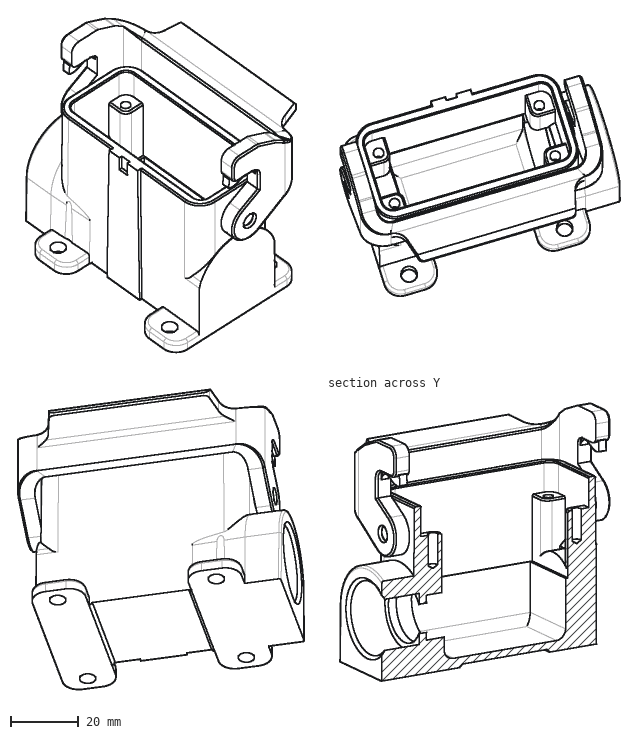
import cadquery as cq
import math


BASE_HALF_X, BASE_HALF_Y = 31.7, 15.4
RIM_HALF_Y = 15.1
RIM_Z = 52.1
CORNER_R = 6.4
DRAFT = math.degrees(math.atan((BASE_HALF_Y - RIM_HALF_Y) / RIM_Z))
RIM_OUTER_CHAMFER = 0.5
RIM_INNER_CHAMFER = 0.4

AXIS_Z = 17.25
ENTRY_R = 15.9
ENTRY_BASE_HALF_Y = 16.1
ENTRY_FACE_X = -42.6
ENTRY_EDGE_FILLET = 0.6
ENTRY_D = 22.5
ENTRY_MOUTH_D = 24.6
ENTRY_SHOULDER_X = -29.7
INNER_HOLE_D = 18.5

FOOT_INNER_X = 15.6
FOOT_HALF_Y = 25.1
FOOT_Z = 3.8
FOOT_CORNER_R = 4.95
FOOT_EDGE_FILLET = 0.95
SCREW_X, SCREW_Y = 24.05, 20.1
SCREW_D = 4.8
SCREW_CLEARANCE_R = 4.6
UNDERSIDE_GAP = 0.95

SHOULDER_Z = 21.4
FACET_HALF_Y, FACET_Z = 14.6, 23.6

CAVITY_HALF_X, CAVITY_HALF_Y = 28.9, 12.2
CAVITY_CORNER_R = 3.2
POST_TOP_Z = 42.7
POST_EDGE_CHAMFER = 0.55
POST_INNER_X = 21.7
WELL_HALF_X, WELL_HALF_Y = 20.9, 12.0
LEDGE_Z = 22.05
FLOOR_Z = 3.35
FLOOR_FILLET = 3.1
POST_INNER_Y = 5.0
POST_CORNER_R = 2.4
CHANNEL_END_X = 27.0
CHANNEL_SLOPE_Z = 27.65
CHANNEL_D = 21.25
POST_HOLE_X, POST_HOLE_Y = 24.85, 8.1
POST_HOLE_D = 3.0
POST_HOLE_DEPTH = 9.6
DRILL_POINT_ANGLE = 118.0

RIB_TOP_HALF_X, RIB_BASE_HALF_X = 6.15, 7.0
RIB_FACE_Y = -16.3
NOTCH_HALF_X, NOTCH_DEPTH, NOTCH_HEIGHT = 1.7, 1.0, 4.7

PIVOT_Z = 42.6
PIVOT_R = 6.95
PIN_D, PIN_END_D = 5.1, 4.0
PIN_RECESS = 0.8
BOSS_D = 6.6
ARM_INNER_X, ARM_OUTER_X = 32.3, 37.3
ARM_BACK_Y = 14.1
ARM_EDGE_CHAMFER = 0.55
ARM_TOP_Z = 70.6
BAR_INNER_Y, BAR_OUTER_Y = 17.65, 21.25
BAR_BOTTOM_Z, BAR_TOP_Z = 47.6, 60.8
BAR_EDGE_CHAMFER = 0.55
ARM_BEND_Y, ARM_BEND_Z = 10.7, 67.75
ARM_FLAT_Y = 3.7
HOOK_TIP_Y = -6.9
HOOK_CORNER_R = 2.95
HOOK_UNDER_Z = 61.3
HOOK_HEEL_R = 2.15
THROAT_Y, THROAT_R = 3.6, 2.6
LOWER_SLOPE, UPPER_SLOPE = 32.0, 30.0
INNER_BEND_R = 4.0
CORNER_SECTIONS = 6
ARM_BEND_R = 2.4
TOOTH_X, TOOTH_WIDTH = 34.4, 2.55
TOOTH_TOP_Z = 62.25
TOOTH_WAVE = [(3.7, 57.8), (2.8, 59.5), (0.3, 60.65), (-2.3, 59.5), (-4.8, 58.65), (-7.1, 58.9)]
HANDLE_TIP_Y = 31.9
HANDLE_TIP_HALF_X, HANDLE_NECK_HALF_X, HANDLE_ROOT_HALF_X = 24.0, 25.8, 30.0
HANDLE_NECK_Y = 25.1
HANDLE_FLARE = (27.2, 22.5)
HANDLE_TIP_FILLET = 1.6
HANDLE_TOP_EDGE = (30.1, 62.3)
HANDLE_TIP_TOP_Z, HANDLE_TIP_BOTTOM_Z = 60.1, 59.05
HANDLE_ROOT_START, HANDLE_ROOT_Z = (22.7, 57.45), 56.1
HANDLE_ROOT_R = 1.6
HANDLE_OVERLAP = 0.8


def box(x0, x1, y0, y1, z0, z1):
    return cq.Workplane("XY").box(x1 - x0, y1 - y0, z1 - z0, centered=False).translate((x0, y0, z0))


def x_cylinder(diameter, x0, x1, z):
    """A cylinder along X on the plane Y = 0."""
    return cq.Workplane("YZ", origin=(x0, 0, z)).circle(diameter / 2).extrude(x1 - x0)


def both_ends(shape):
    """The shape together with its mirror image across the plane X = 0."""
    return shape.union(shape.mirror("YZ"))



def shell():
    return (cq.Workplane("XY").rect(2 * BASE_HALF_X, 2 * BASE_HALF_Y).extrude(RIM_Z, taper=DRAFT)
            .edges("not(|X or |Y)").fillet(CORNER_R)
            .faces(">Z").edges().chamfer(RIM_OUTER_CHAMFER))


def arch(plane_x, base_half_y, radius):
    """Outline of a block with a round top, in a plane across X."""
    return (cq.Workplane("YZ", origin=(plane_x, 0, 0))
            .moveTo(-base_half_y, 0).lineTo(-radius, AXIS_Z)
            .threePointArc((0, AXIS_Z + radius), (radius, AXIS_Z))
            .lineTo(base_half_y, 0).close())


def cable_entry():
    straight = arch(ENTRY_FACE_X, ENTRY_BASE_HALF_Y, ENTRY_R).extrude(-BASE_HALF_X - ENTRY_FACE_X)
    straight = straight.faces("<X").edges("not(<Z)").fillet(ENTRY_EDGE_FILLET)
    wide = arch(-BASE_HALF_X, ENTRY_BASE_HALF_Y, ENTRY_R).wires().val()
    wall_half_y = BASE_HALF_Y - AXIS_Z * math.tan(math.radians(DRAFT))
    flush = arch(-FOOT_INNER_X, BASE_HALF_Y, wall_half_y).wires().val()
    blend = cq.Workplane("XY").add(cq.Solid.makeLoft([wide, flush], True))
    return straight.union(blend)


def far_end_block():
    wall_half_y = BASE_HALF_Y - SHOULDER_Z * math.tan(math.radians(DRAFT))
    start_x = BASE_HALF_X - 2 * CORNER_R
    return (cq.Workplane("YZ", origin=(start_x, 0, 0))
            .moveTo(-BASE_HALF_Y, 0).lineTo(-wall_half_y, SHOULDER_Z).lineTo(-FACET_HALF_Y, FACET_Z)
            .threePointArc((0, AXIS_Z + ENTRY_R), (FACET_HALF_Y, FACET_Z))
            .lineTo(wall_half_y, SHOULDER_Z).lineTo(BASE_HALF_Y, 0).close()
            .extrude(2 * CORNER_R))


def feet():
    strip = (box(FOOT_INNER_X, BASE_HALF_X, -FOOT_HALF_Y, FOOT_HALF_Y, 0, FOOT_Z)
             .edges("|Z").fillet(FOOT_CORNER_R)
             .faces(">Z").edges().fillet(FOOT_EDGE_FILLET))
    return both_ends(strip)


def underside_clearance():
    return (cq.Workplane("XZ", origin=(0, FOOT_HALF_Y, 0))
            .polyline([(-FOOT_INNER_X, 0), (FOOT_INNER_X, 0),
                       (FOOT_INNER_X - UNDERSIDE_GAP, UNDERSIDE_GAP),
                       (UNDERSIDE_GAP - FOOT_INNER_X, UNDERSIDE_GAP)])
            .close().extrude(2 * FOOT_HALF_Y))


def screw_places(z):
    return (cq.Workplane("XY", origin=(0, 0, z))
            .rect(2 * SCREW_X, 2 * SCREW_Y, forConstruction=True).vertices())


def guide_rib():
    return (cq.Workplane("XZ", origin=(0, RIB_FACE_Y, 0))
            .polyline([(-RIB_BASE_HALF_X, UNDERSIDE_GAP), (RIB_BASE_HALF_X, UNDERSIDE_GAP),
                       (RIB_TOP_HALF_X, RIM_Z), (-RIB_TOP_HALF_X, RIM_Z)])
            .close().extrude(RIB_FACE_Y + CAVITY_HALF_Y + RIM_INNER_CHAMFER))


def rib_notch():
    return box(-NOTCH_HALF_X, NOTCH_HALF_X, RIB_FACE_Y, RIB_FACE_Y + NOTCH_DEPTH, RIM_Z - NOTCH_HEIGHT, RIM_Z)


def upper_cavity():
    cavity = (box(-CAVITY_HALF_X, CAVITY_HALF_X, -CAVITY_HALF_Y, CAVITY_HALF_Y, POST_TOP_Z, RIM_Z)
              .edges("|Z").fillet(CAVITY_CORNER_R))
    mouth = (cq.Workplane("XY", origin=(0, 0, RIM_Z))
             .sketch().rect(2 * (CAVITY_HALF_X + RIM_INNER_CHAMFER), 2 * (CAVITY_HALF_Y + RIM_INNER_CHAMFER))
             .vertices().fillet(CAVITY_CORNER_R + RIM_INNER_CHAMFER).finalize()
             .extrude(-RIM_INNER_CHAMFER, taper=45))
    return cavity.union(mouth)


def well():
    lower = (box(-WELL_HALF_X, WELL_HALF_X, -WELL_HALF_Y, WELL_HALF_Y, FLOOR_Z, LEDGE_Z)
             .faces("<Z").edges().fillet(FLOOR_FILLET))
    upper = box(-POST_INNER_X, POST_INNER_X, -CAVITY_HALF_Y, CAVITY_HALF_Y, LEDGE_Z, POST_TOP_Z)
    return lower.union(upper)


def post_channel():
    """Space between the two posts of the +X end, with a sloped end wall and rounded post corners."""
    slope_top_z = CHANNEL_SLOPE_Z + CAVITY_HALF_X - CHANNEL_END_X
    slot = (cq.Workplane("XZ", origin=(0, POST_INNER_Y, 0))
            .polyline([(0, AXIS_Z), (CHANNEL_END_X, AXIS_Z), (CHANNEL_END_X, CHANNEL_SLOPE_Z),
                       (CAVITY_HALF_X, slope_top_z), (CAVITY_HALF_X, POST_TOP_Z), (0, POST_TOP_Z)])
            .close().extrude(2 * POST_INNER_Y))
    flare_half_y = POST_INNER_Y + POST_CORNER_R
    flare = box(POST_INNER_X, POST_INNER_X + POST_CORNER_R, -flare_half_y, flare_half_y, LEDGE_Z, POST_TOP_Z)
    rounds = (cq.Workplane("XY", origin=(0, 0, LEDGE_Z))
              .pushPoints([(POST_INNER_X + POST_CORNER_R, side * flare_half_y) for side in (-1, 1)])
              .circle(POST_CORNER_R).extrude(POST_TOP_Z - LEDGE_Z))
    return slot.union(flare.cut(rounds))


def channels():
    hump = x_cylinder(CHANNEL_D, WELL_HALF_X, BASE_HALF_X, AXIS_Z)
    trough = x_cylinder(CHANNEL_D, -CHANNEL_END_X, -WELL_HALF_X, AXIS_Z)
    channel = post_channel()
    return channel.cut(hump).union(channel.mirror("YZ")).union(trough)


def chamfer_posts(body):
    """Bevel the free top edges of the four posts."""
    margin = 0.1
    near_x, near_y = POST_INNER_X - margin, POST_INNER_Y - margin
    far_x, far_y = POST_HOLE_X + POST_HOLE_D, CAVITY_HALF_Y - POST_CORNER_R
    for x_side in (-1, 1):
        for y_side in (-1, 1):
            free_edges = cq.selectors.BoxSelector((x_side * near_x, y_side * near_y, POST_TOP_Z - margin),
                                                  (x_side * far_x, y_side * far_y, POST_TOP_Z + margin))
            body = body.edges(free_edges).chamfer(POST_EDGE_CHAMFER)
    return body


def post_holes():
    cone_depth = POST_HOLE_D / 2 / math.tan(math.radians(DRILL_POINT_ANGLE / 2))
    hole = (cq.Workplane("XZ")
            .polyline([(0, 0), (POST_HOLE_D / 2, 0), (POST_HOLE_D / 2, -POST_HOLE_DEPTH),
                       (0, -POST_HOLE_DEPTH - cone_depth)])
            .close().revolve(360, (0, 0, 0), (0, 1, 0)).val())
    return (cq.Workplane("XY", origin=(0, 0, POST_TOP_Z))
            .rect(2 * POST_HOLE_X, 2 * POST_HOLE_Y, forConstruction=True).vertices()
            .eachpoint(lambda place: hole.moved(place), combine=False))


def entry_bore():
    mouth = (cq.Workplane("YZ", origin=(ENTRY_FACE_X, 0, AXIS_Z)).circle(ENTRY_MOUTH_D / 2)
             .extrude((ENTRY_MOUTH_D - ENTRY_D) / 2, taper=45))
    bore = x_cylinder(ENTRY_D, ENTRY_FACE_X, ENTRY_SHOULDER_X, AXIS_Z)
    inner = x_cylinder(INNER_HOLE_D, ENTRY_SHOULDER_X, -WELL_HALF_X, AXIS_Z)
    return mouth.union(bore).union(inner)


def pivot_pin():
    """Boss and pin of the +X end."""
    boss = x_cylinder(BOSS_D, CAVITY_HALF_X, ARM_INNER_X, PIVOT_Z)
    pin = (x_cylinder(PIN_D, ARM_INNER_X, ARM_OUTER_X - PIN_RECESS, PIVOT_Z)
           .faces(">X").chamfer((PIN_D - PIN_END_D) / 2))
    return boss.union(pin)


def make_housing():
    body = shell().union(cable_entry()).union(far_end_block())
    screw_clearance = screw_places(FOOT_Z).circle(SCREW_CLEARANCE_R).extrude(RIM_Z - FOOT_Z)
    body = body.cut(screw_clearance).union(guide_rib()).union(feet())
    for opening in (underside_clearance(), screw_places(0).circle(SCREW_D / 2).extrude(FOOT_Z),
                    rib_notch(), upper_cavity(), well(), channels(), entry_bore()):
        body = body.cut(opening)
    body = chamfer_posts(body).cut(post_holes())
    return body.union(both_ends(pivot_pin()))



def sloped_edge_heights(y):
    """Bottom and top Z of the straight sloped edges at a given Y."""
    slope = math.radians(LOWER_SLOPE)
    bottom = PIVOT_Z - PIVOT_R / math.cos(slope) + y * math.tan(slope)
    top = BAR_TOP_Z + (BAR_OUTER_Y - y) * (ARM_BEND_Z - BAR_TOP_Z) / (BAR_OUTER_Y - ARM_BEND_Y)
    return bottom, top


def arm():
    bottom, top = sloped_edge_heights(ARM_BACK_Y)
    lower, upper = math.radians(LOWER_SLOPE), math.radians(UPPER_SLOPE)
    lower_tangent = (PIVOT_R * math.sin(lower), PIVOT_Z - PIVOT_R * math.cos(lower))
    upper_tangent = (-PIVOT_R * math.sin(upper), PIVOT_Z + PIVOT_R * math.cos(upper))
    throat_z = upper_tangent[1] + (THROAT_Y - upper_tangent[0]) * math.tan(upper)
    tip_y, top_z, under_z = HOOK_TIP_Y, ARM_TOP_Z, HOOK_UNDER_Z
    plate = (cq.Workplane("YZ", origin=(ARM_INNER_X, 0, 0))
             .moveTo(ARM_BACK_Y, bottom).lineTo(*lower_tangent)
             .threePointArc((-PIVOT_R, PIVOT_Z), upper_tangent)
             .lineTo(THROAT_Y, throat_z)
             .lineTo(THROAT_Y, under_z - THROAT_R)
             .radiusArc((THROAT_Y - THROAT_R, under_z), -THROAT_R)
             .lineTo(tip_y + HOOK_HEEL_R, under_z)
             .radiusArc((tip_y, under_z + HOOK_HEEL_R), HOOK_HEEL_R)
             .lineTo(tip_y, top_z - HOOK_CORNER_R)
             .radiusArc((tip_y + HOOK_CORNER_R, top_z), HOOK_CORNER_R)
             .lineTo(ARM_FLAT_Y, top_z).lineTo(ARM_BEND_Y, ARM_BEND_Z)
             .lineTo(ARM_BACK_Y, top).close()
             .extrude(ARM_OUTER_X - ARM_INNER_X))
    for bend in ((ARM_BEND_Y, ARM_BEND_Z), (ARM_FLAT_Y, ARM_TOP_Z)):
        middle = ((ARM_INNER_X + ARM_OUTER_X) / 2, *bend)
        plate = plate.edges(cq.selectors.NearestToPointSelector(middle)).fillet(ARM_BEND_R)
    plate = plate.faces(">X").edges("not(>Y)").chamfer(ARM_EDGE_CHAMFER)
    return plate.cut(x_cylinder(PIN_D, ARM_INNER_X, ARM_OUTER_X, PIVOT_Z))


def wall_section(inner, outer, bottom, top, inner_bevel, outer_bevel):
    """Upright section between two plan points, bevelled at both outer edges and the inner top edge."""
    across_wall = cq.Vector(outer[0] - inner[0], outer[1] - inner[1], 0)
    width = across_wall.Length
    outline = [(0, bottom), (width - outer_bevel, bottom), (width, bottom + outer_bevel),
               (width, top - outer_bevel), (width - outer_bevel, top),
               (inner_bevel, top), (0, top - inner_bevel)]
    points = [cq.Vector(*inner, z) + across_wall * (distance / width) for distance, z in outline]
    return cq.Wire.makePolygon(points, close=True)


def corner():
    """Twisted quarter turn from the arm to the cross bar, lofted through upright sections."""
    outer_r = BAR_OUTER_Y - ARM_BACK_Y
    low, high = sloped_edge_heights(ARM_BACK_Y)
    sections = []
    for step in range(CORNER_SECTIONS):
        turn = math.radians(90 * step / (CORNER_SECTIONS - 1))
        across, along = math.cos(turn), math.sin(turn)
        outer = (ARM_OUTER_X - outer_r * (1 - across), ARM_BACK_Y + outer_r * along)
        inner = (ARM_INNER_X - INNER_BEND_R * (1 - across), ARM_BACK_Y + (BAR_INNER_Y - ARM_BACK_Y) * along)
        bottom = low + (BAR_BOTTOM_Z - low) * along
        top = high + (BAR_TOP_Z - high) * along
        outer_bevel = ARM_EDGE_CHAMFER * (CORNER_SECTIONS - step) / CORNER_SECTIONS
        inner_bevel = BAR_EDGE_CHAMFER * (step + 1) / CORNER_SECTIONS
        sections.append(wall_section(inner, outer, bottom, top, inner_bevel, outer_bevel))
    return cq.Workplane("XY").add(cq.Solid.makeLoft(sections))


def tooth():
    """Wavy locking tooth below the hook, running back into the throat."""
    back_y = TOOTH_WAVE[0][0]
    return (cq.Workplane("YZ", origin=(TOOTH_X - TOOTH_WIDTH / 2, 0, 0))
            .spline(TOOTH_WAVE)
            .lineTo(HOOK_TIP_Y, TOOTH_TOP_Z).lineTo(back_y, TOOTH_TOP_Z).close()
            .extrude(TOOTH_WIDTH))


def handle_plan():
    """The handle from above: flared at the root, tapering to the rounded tip."""
    root_y = BAR_OUTER_Y - HANDLE_OVERLAP
    return (cq.Workplane("XY", origin=(0, 0, BAR_BOTTOM_Z))
            .moveTo(-HANDLE_ROOT_HALF_X, root_y)
            .lineTo(-HANDLE_ROOT_HALF_X, BAR_OUTER_Y)
            .threePointArc((-HANDLE_FLARE[0], HANDLE_FLARE[1]), (-HANDLE_NECK_HALF_X, HANDLE_NECK_Y))
            .lineTo(-HANDLE_TIP_HALF_X, HANDLE_TIP_Y)
            .lineTo(HANDLE_TIP_HALF_X, HANDLE_TIP_Y)
            .lineTo(HANDLE_NECK_HALF_X, HANDLE_NECK_Y)
            .threePointArc(HANDLE_FLARE, (HANDLE_ROOT_HALF_X, BAR_OUTER_Y))
            .lineTo(HANDLE_ROOT_HALF_X, root_y).close()
            .extrude(ARM_TOP_Z - BAR_BOTTOM_Z)
            .edges("|Z and >Y").fillet(HANDLE_TIP_FILLET))


def handle():
    root_y = BAR_OUTER_Y - HANDLE_OVERLAP
    profile = (cq.Workplane("YZ", origin=(-HANDLE_ROOT_HALF_X, 0, 0))
               .moveTo(root_y, BAR_TOP_Z).lineTo(BAR_OUTER_Y, BAR_TOP_Z)
               .lineTo(*HANDLE_TOP_EDGE)
               .lineTo(HANDLE_TIP_Y, HANDLE_TIP_TOP_Z).lineTo(HANDLE_TIP_Y, HANDLE_TIP_BOTTOM_Z)
               .lineTo(*HANDLE_ROOT_START)
               .radiusArc((BAR_OUTER_Y, HANDLE_ROOT_Z), -HANDLE_ROOT_R)
               .lineTo(root_y, HANDLE_ROOT_Z).close()
               .extrude(2 * HANDLE_ROOT_HALF_X))
    return profile.intersect(handle_plan())


def cross_bar():
    inner_x = ARM_INNER_X - INNER_BEND_R
    outer_x = ARM_OUTER_X - (BAR_OUTER_Y - ARM_BACK_Y)
    return (cq.Workplane("XY", origin=(0, 0, BAR_BOTTOM_Z))
            .polyline([(-inner_x, BAR_INNER_Y), (inner_x, BAR_INNER_Y),
                       (outer_x, BAR_OUTER_Y), (-outer_x, BAR_OUTER_Y)])
            .close().extrude(BAR_TOP_Z - BAR_BOTTOM_Z)
            .faces(">Z").edges("<Y").chamfer(BAR_EDGE_CHAMFER))


def make_lever():
    side = arm().union(tooth()).union(corner())
    return cross_bar().union(both_ends(side)).union(handle())


housing = make_housing()
lever = make_lever()

result = cq.Compound.makeCompound([housing.val(), lever.val()])